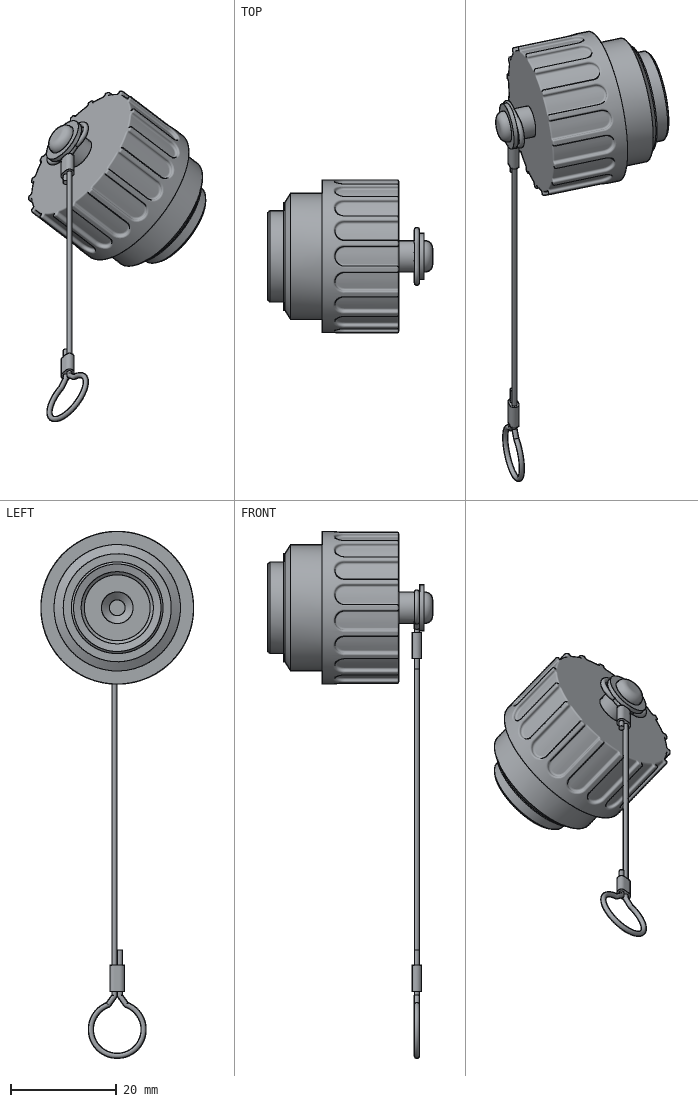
import cadquery as cq
import math


neck_diameter = 17.4
neck_length = 3.0
neck_edge_chamfer = 0.4
body_diameter = 24.0
body_front_diameter = 20.5
body_front_land = 0.25
body_chamfer_length = 1.1
knob_diameter = 29.0
knob_start = 10.3
knob_end = 24.85
knob_rear_fillet = 0.3

mouth_diameter = 16.4
mouth_taper_depth = 0.42
bore_diameter = 13.7
bore_depth = 20.0
bore_corner_chamfer = 0.6
recess_diameter = 6.0
recess_floor_diameter = 3.0
recess_depth = 1.5

flute_count = 18
flute_floor_radius = 13.7
flute_width = 3.72
flute_start = 12.75
flute_floor_fillet = 0.34
flute_rim_fillet = 0.3

pin_diameter = 6.0
total_length = 31.3
pin_end_fillet = 1.5
washer_diameter = 8.8
washer_start = 28.82
washer_thickness = 0.85

selection_tolerance = 0.001

wire_diameter = 1.0
wire_to_washer_gap = 0.03
wire_x = washer_start - wire_to_washer_gap - wire_diameter / 2
strand_offset = 0.51
total_height = 100.0
tether_bottom = knob_diameter / 2 - total_height

upper_loop_top = 2.9
upper_loop_bottom = -2.6
upper_loop_half_width = 5.0
upper_ferrule_top = -4.65
upper_tail_length = 2.0

lower_loop_radius = 5.0
lower_loop_opening_half_angle = 20.0
lower_ferrule_top = -67.8
lower_tail_length = 2.9

ferrule_length = 5.0
ferrule_thickness = 1.8
ferrule_to_bend = 0.8


def revolve_about_x(outline):
    return cq.Workplane("XY").polyline(outline).close().revolve(360, (0, 0, 0), (1, 0, 0))


def make_body():
    neck_radius = neck_diameter / 2
    body_radius = body_diameter / 2
    chamfer_start = neck_length + body_front_land
    outline = [
        (0, 0),
        (0, neck_radius - neck_edge_chamfer),
        (neck_edge_chamfer, neck_radius),
        (neck_length, neck_radius),
        (neck_length, body_front_diameter / 2),
        (chamfer_start, body_front_diameter / 2),
        (chamfer_start + body_chamfer_length, body_radius),
        (knob_start, body_radius),
        (knob_start, 0),
    ]
    return revolve_about_x(outline)


class EdgesOnCylinder(cq.Selector):
    """Edges on a cylinder about the X axis, without those in the knob's end faces."""

    def __init__(self, radius):
        self.radius = radius

    def filter(self, objectList):
        return [edge for edge in objectList if self.on_cylinder(edge) and not self.on_end_face(edge)]

    def on_cylinder(self, edge):
        points = [edge.positionAt(fraction) for fraction in (0, 0.5, 1)]
        return all(abs(math.hypot(p.y, p.z) - self.radius) < selection_tolerance for p in points)

    def on_end_face(self, edge):
        box = edge.BoundingBox()
        return box.xmax < knob_start + selection_tolerance or box.xmin > knob_end - selection_tolerance


def make_knob():
    knob_radius = knob_diameter / 2
    knob = make_knob_cylinder(knob_radius).cut(make_flutes())
    knob = knob.edges(EdgesOnCylinder(flute_floor_radius)).fillet(flute_floor_fillet)
    knob = knob.edges(EdgesOnCylinder(knob_radius)).fillet(flute_rim_fillet)
    return knob.faces(">X").edges().fillet(knob_rear_fillet)


def make_knob_cylinder(radius):
    return cq.Workplane("YZ", origin=(knob_start, 0, 0)).circle(radius).extrude(knob_end - knob_start)


def make_bore():
    bore_radius = bore_diameter / 2
    outline = [
        (0, 0),
        (0, mouth_diameter / 2),
        (mouth_taper_depth, bore_radius),
        (bore_depth - bore_corner_chamfer, bore_radius),
        (bore_depth, bore_radius - bore_corner_chamfer),
        (bore_depth, recess_diameter / 2),
        (bore_depth + recess_depth, recess_floor_diameter / 2),
        (bore_depth + recess_depth, 0),
    ]
    return revolve_about_x(outline)


def make_flutes():
    """Round-ended cutters, each with a floor concentric with the knob."""
    cutter = (
        cq.Workplane("XY", origin=(knob_end, 0, 0))
        .slot2D(2 * (knob_end - flute_start), flute_width)
        .extrude(knob_diameter)
    )
    flutes = cq.Workplane()
    for index in range(flute_count):
        flutes.add(cutter.rotate((0, 0, 0), (1, 0, 0), index * 360 / flute_count).val())
    return flutes.combine().cut(make_knob_cylinder(flute_floor_radius))


def make_pin():
    pin = (
        cq.Workplane("YZ", origin=(knob_end, 0, 0))
        .circle(pin_diameter / 2)
        .extrude(total_length - knob_end)
        .faces(">X")
        .edges()
        .fillet(pin_end_fillet)
    )
    washer = (
        cq.Workplane("YZ", origin=(washer_start, 0, 0))
        .circle(washer_diameter / 2)
        .extrude(washer_thickness)
    )
    return pin.union(washer)


def at(y, z):
    """A point in the plane of the tether."""
    return cq.Vector(wire_x, y, z)


def make_rod(start, end):
    span = end - start
    return cq.Workplane(cq.Solid.makeCylinder(wire_diameter / 2, span.Length, start, span))


def sweep_wire(path):
    """Sweep the wire section along a smooth path given in the plane of the tether."""
    section_plane = cq.Plane(origin=path.startPoint(), xDir=(1, 0, 0), normal=path.tangentAt(0))
    return cq.Workplane(section_plane).circle(wire_diameter / 2).sweep(cq.Workplane(path))


def make_bend(point):
    return cq.Workplane().sphere(wire_diameter / 2).translate(point)


def join_strand(start, end):
    """A straight piece of wire with a rounded bend at each end."""
    return make_rod(start, end).union(make_bend(start)).union(make_bend(end))


def make_upper_loop():
    """Flattened loop around the pin, with its free tail on the -Y side."""
    bend_z = upper_ferrule_top + ferrule_to_bend
    tail_end_z = upper_ferrule_top - ferrule_length - upper_tail_length
    end_radius = (upper_loop_top - upper_loop_bottom) / 2
    middle_z = (upper_loop_top + upper_loop_bottom) / 2
    arc_y = upper_loop_half_width - end_radius

    path = (
        cq.Workplane("YZ", origin=(wire_x, 0, 0))
        .moveTo(-arc_y, upper_loop_bottom)
        .threePointArc((-upper_loop_half_width, middle_z), (-arc_y, upper_loop_top))
        .lineTo(arc_y, upper_loop_top)
        .threePointArc((upper_loop_half_width, middle_z), (arc_y, upper_loop_bottom))
        .wire()
        .val()
    )
    loop = sweep_wire(path)
    loop = loop.union(make_rod(at(-strand_offset, tail_end_z), at(-strand_offset, bend_z)))
    for side in (-1, 1):
        bend = at(side * strand_offset, bend_z)
        arc_end = at(side * arc_y, upper_loop_bottom)
        loop = loop.union(join_strand(bend, arc_end))
    return loop


def make_lower_loop():
    """Round loop hanging at the bottom, with its free tail on the -Y side."""
    bend_z = lower_ferrule_top - ferrule_length - ferrule_to_bend
    tail_end_z = lower_ferrule_top + lower_tail_length
    bottom_z = tether_bottom + wire_diameter / 2
    opening = math.radians(lower_loop_opening_half_angle)
    mouth_y = lower_loop_radius * math.sin(opening)
    mouth_z = bottom_z + lower_loop_radius * (1 + math.cos(opening))

    path = cq.Edge.makeThreePointArc(at(mouth_y, mouth_z), at(0, bottom_z), at(-mouth_y, mouth_z))
    loop = sweep_wire(path)
    loop = loop.union(make_rod(at(-strand_offset, bend_z), at(-strand_offset, tail_end_z)))
    for side in (-1, 1):
        bend = at(side * strand_offset, bend_z)
        mouth = at(side * mouth_y, mouth_z)
        loop = loop.union(join_strand(bend, mouth))
    return loop


def make_ferrule(top):
    return (
        cq.Workplane("XY", origin=(wire_x, 0, top - ferrule_length))
        .slot2D(2 * strand_offset + ferrule_thickness, ferrule_thickness, 90)
        .extrude(ferrule_length)
    )


def make_tether():
    line_top = at(strand_offset, upper_ferrule_top + ferrule_to_bend)
    line_bottom = at(strand_offset, lower_ferrule_top - ferrule_length - ferrule_to_bend)
    tether = make_upper_loop().union(make_rod(line_bottom, line_top)).union(make_lower_loop())
    for ferrule_top in (upper_ferrule_top, lower_ferrule_top):
        tether = tether.union(make_ferrule(ferrule_top))
    return tether


cap = make_body().union(make_knob()).cut(make_bore())
result = cap.union(make_pin()).union(make_tether())